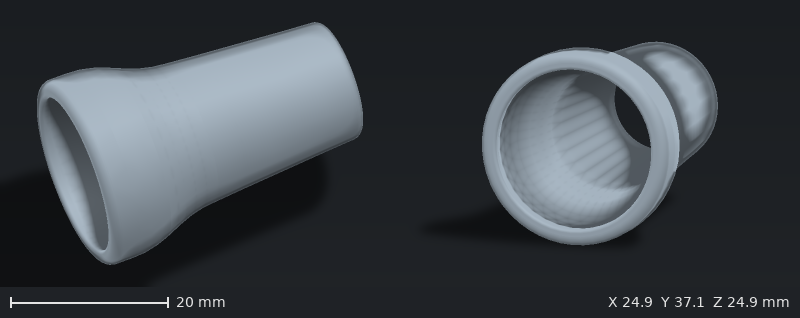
import cadquery as cq
import math

length = 37.15
bell_center = 3.65
flare_angle = math.radians(22)

outer_bell_radius = 12.45
outer_flare_radius = 10.48
outer_neck_radius = 9.35
outer_neck_y = 15.9
outer_tip_radius = 7.8

inner_bell_radius = 10.6
inner_flare_radius = 8.95
inner_neck_radius = 7.73
inner_neck_y = 15.25
inner_tip_radius = 6.2
mouth_radius = 10.3

bore_end_radius = 6.28
bore_end_length = 1.23

rim_fillet = 1.23
tip_fillet = 1.3
lip_fillet = 0.45


def sphere_point(radius, angle):
    """Point (radial, Y) on a bell sphere, at an angle towards the tip."""
    return (radius * math.cos(angle), bell_center + radius * math.sin(angle))


def add_neck(profile, bell_radius, flare_radius, neck_radius, neck_y, tip_points):
    """Continue from the bell: conical flare, concave arc and tube tapering through tip_points."""
    flare_start_radius, flare_start_y = sphere_point(bell_radius, flare_angle)
    flare_y = flare_start_y + (flare_start_radius - flare_radius) / math.tan(flare_angle)
    return (
        profile.lineTo(flare_radius, flare_y)
        .tangentArcPoint((neck_radius, neck_y), relative=False)
        .polyline(tip_points, includeCurrent=True)
        .lineTo(0, length)
        .close()
        .revolve(360, (0, 0, 0), (0, 1, 0))
    )


def outer_body():
    """Solid outer form: short cylinder, spherical bell and neck, with rounded ends."""
    profile = (
        cq.Workplane("XY")
        .lineTo(outer_bell_radius, 0)
        .lineTo(outer_bell_radius, bell_center)
        .threePointArc(
            sphere_point(outer_bell_radius, flare_angle / 2),
            sphere_point(outer_bell_radius, flare_angle),
        )
    )
    body = add_neck(
        profile,
        outer_bell_radius,
        outer_flare_radius,
        outer_neck_radius,
        outer_neck_y,
        [(outer_tip_radius, length)],
    )
    return body.faces("<Y").edges().fillet(rim_fillet).faces(">Y").edges().fillet(tip_fillet)


def inner_cavity():
    """Through cavity whose spherical bell narrows to a short cylindrical mouth."""
    mouth_angle = -math.acos(mouth_radius / inner_bell_radius)
    profile = (
        cq.Workplane("XY")
        .lineTo(mouth_radius, 0)
        .lineTo(*sphere_point(inner_bell_radius, mouth_angle))
        .threePointArc(
            sphere_point(inner_bell_radius, 0),
            sphere_point(inner_bell_radius, flare_angle),
        )
    )
    return add_neck(
        profile,
        inner_bell_radius,
        inner_flare_radius,
        inner_neck_radius,
        inner_neck_y,
        [(bore_end_radius, length - bore_end_length), (inner_tip_radius, length)],
    )


sleeve = outer_body().cut(inner_cavity())
mouth_edge = cq.selectors.RadiusNthSelector(0)
result = sleeve.faces("<Y").edges(mouth_edge).fillet(lip_fillet)